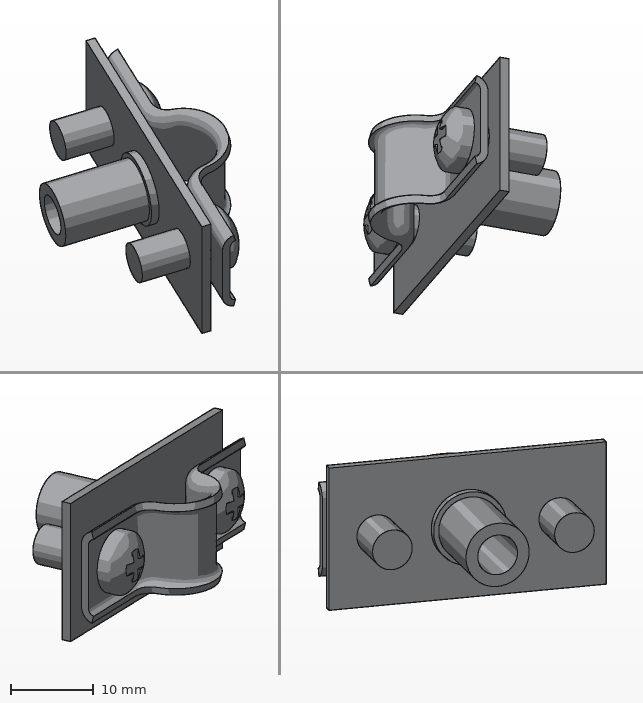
import cadquery as cq
import math


PLATE_LENGTH = 35.0
PLATE_HEIGHT = 18.0
PLATE_THICKNESS = 1.2

TUBE_DIAMETER = 7.98
TUBE_BORE = 5.0
TUBE_LENGTH = 12.0
COLLAR_DIAMETER = 9.25
COLLAR_THICKNESS = 1.0

CLAMP_GAP = 1.55
CLAMP_THICKNESS = 0.98
CLAMP_FLAT_WIDTH = 8.12
LIP_INNER_RADIUS = 0.98
LIP_ANGLE = 75.0
HUMP_INNER_RADIUS = 4.0
HUMP_CENTRE_RISE = 2.5
FOOT_BEND_RADIUS = 3.57

SCREW_SPACING = 23.0
SHANK_DIAMETER = 5.0
SHANK_TIP_DEPTH = 6.3
HEAD_DIAMETER = 7.98
HEAD_HEIGHT = 3.3
DOME_RADIUS = 5.65
HEAD_EDGE_RADIUS = 0.5
SLOT_WIDTH = 1.4
SLOT_DEPTH = 0.4

clamp_front = PLATE_THICKNESS + CLAMP_GAP
clamp_back = clamp_front + CLAMP_THICKNESS
head_top = clamp_back + HEAD_HEIGHT
screw_positions = [-SCREW_SPACING / 2, SCREW_SPACING / 2]


def cylinder_along_y(diameter, start, end, x=0.0):
    """Round bar parallel to Y, from Y = start to Y = end."""
    return cq.Workplane("XZ", origin=(x, end, 0)).circle(diameter / 2).extrude(end - start)


def drill_screw_holes(body):
    """Cut a hole that fits each screw shank."""
    for x in screw_positions:
        body = body.cut(cylinder_along_y(SHANK_DIAMETER, 0, clamp_back, x))
    return body


def make_plate():
    blank = cq.Workplane("XY").box(PLATE_LENGTH, PLATE_THICKNESS, PLATE_HEIGHT)
    return drill_screw_holes(blank.translate((0, PLATE_THICKNESS / 2, 0)))


def make_tube():
    tube = cylinder_along_y(TUBE_DIAMETER, -TUBE_LENGTH, 0)
    collar = cylinder_along_y(COLLAR_DIAMETER, -COLLAR_THICKNESS, 0)
    bore = cylinder_along_y(TUBE_BORE, -TUBE_LENGTH, 0)
    return tube.union(collar).cut(bore)


def clamp_path():
    """Line of the clamp's front face: foot, bend, hump, bend, foot."""
    hump_y = clamp_front + HUMP_CENTRE_RISE
    bend_y = clamp_front + FOOT_BEND_RADIUS
    centre_distance = HUMP_INNER_RADIUS + FOOT_BEND_RADIUS
    bend_x = math.sqrt(centre_distance**2 - (bend_y - hump_y) ** 2)
    slope = math.atan2(bend_y - hump_y, bend_x)
    joint_x = HUMP_INNER_RADIUS * math.cos(slope)
    joint_y = hump_y + HUMP_INNER_RADIUS * math.sin(slope)
    middle_angle = (slope - math.pi / 2) / 2
    middle_x = bend_x - FOOT_BEND_RADIUS * math.cos(middle_angle)
    middle_y = bend_y + FOOT_BEND_RADIUS * math.sin(middle_angle)
    return (
        cq.Workplane("XY")
        .moveTo(-PLATE_LENGTH / 2, clamp_front)
        .lineTo(-bend_x, clamp_front)
        .threePointArc((-middle_x, middle_y), (-joint_x, joint_y))
        .threePointArc((0, hump_y + HUMP_INNER_RADIUS), (joint_x, joint_y))
        .threePointArc((middle_x, middle_y), (bend_x, clamp_front))
        .lineTo(PLATE_LENGTH / 2, clamp_front)
    )


def clamp_section():
    """Cross-section of the strip: a flat web with a lip curling back along each edge."""
    half_flat = CLAMP_FLAT_WIDTH / 2
    outer_radius = LIP_INNER_RADIUS + CLAMP_THICKNESS
    lip_centre_y = clamp_front + outer_radius

    def lip_point(radius, angle, side):
        turn = math.radians(angle)
        return (lip_centre_y - radius * math.cos(turn), side * (half_flat + radius * math.sin(turn)))

    def lip_middle(radius, side):
        return lip_point(radius, LIP_ANGLE / 2, side)

    def lip_end(radius, side):
        return lip_point(radius, LIP_ANGLE, side)

    return (
        cq.Workplane("YZ", origin=(-PLATE_LENGTH / 2, 0, 0))
        .moveTo(clamp_front, -half_flat)
        .lineTo(clamp_front, half_flat)
        .threePointArc(lip_middle(outer_radius, 1), lip_end(outer_radius, 1))
        .lineTo(*lip_end(LIP_INNER_RADIUS, 1))
        .threePointArc(lip_middle(LIP_INNER_RADIUS, 1), (clamp_back, half_flat))
        .lineTo(clamp_back, -half_flat)
        .threePointArc(lip_middle(LIP_INNER_RADIUS, -1), lip_end(LIP_INNER_RADIUS, -1))
        .lineTo(*lip_end(outer_radius, -1))
        .threePointArc(lip_middle(outer_radius, -1), (clamp_front, -half_flat))
        .close()
    )


def make_clamp():
    return drill_screw_holes(clamp_section().sweep(clamp_path()))


def make_screw(x):
    """Domed cross-slot screw whose head bears on the back of the clamp."""
    head = cylinder_along_y(HEAD_DIAMETER, clamp_back, head_top, x)
    dome = cq.Workplane("XY").sphere(DOME_RADIUS).translate((x, head_top - DOME_RADIUS, 0))
    head = head.intersect(dome)
    rim_y = head_top - DOME_RADIUS + math.sqrt(DOME_RADIUS**2 - (HEAD_DIAMETER / 2) ** 2)
    rim = cq.selectors.NearestToPointSelector((x, rim_y, 0))
    head = head.edges(rim).fillet(HEAD_EDGE_RADIUS)

    slot_centre = (x, head_top - SLOT_DEPTH / 2, 0)
    slot_along_x = cq.Workplane("XY").box(HEAD_DIAMETER, SLOT_DEPTH, SLOT_WIDTH).translate(slot_centre)
    slot_along_z = cq.Workplane("XY").box(SLOT_WIDTH, SLOT_DEPTH, HEAD_DIAMETER).translate(slot_centre)
    head = head.cut(slot_along_x).cut(slot_along_z)

    shank = cylinder_along_y(SHANK_DIAMETER, -SHANK_TIP_DEPTH, clamp_back, x)
    return head.union(shank)


plate = make_plate()
tube = make_tube()
clamp = make_clamp()
screws = [make_screw(x).val() for x in screw_positions]

result = cq.Compound.makeCompound([plate.val(), tube.val(), clamp.val(), *screws])